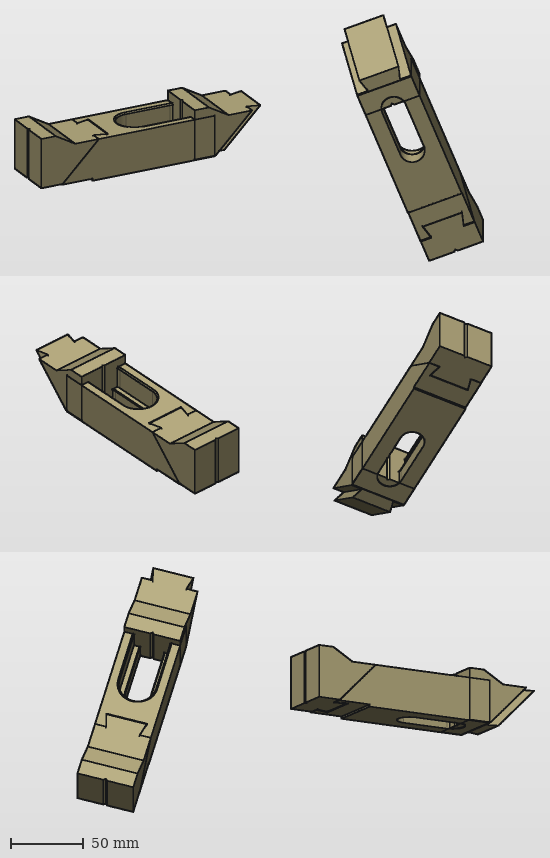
import cadquery as cq

WIDTH = 40.0
JAW_HEIGHT = 36.9
JAW_SHELF_HEIGHT = 28.2
JAW_LIP_LENGTH = 11.0
JAW_RAMP_END = 26.3
JAW_SHOULDER = 44.6
DOVETAIL_LENGTH = 9.3
DOVETAIL_TIP_WIDTH = 28.9
DOVETAIL_ROOT_WIDTH = 24.0
GROOVE_DEPTH = 1.3

TOTAL_LENGTH = 173.0
FRONT_JAW_BOTTOM = 2.0
REAR_JAW_BOTTOM = 0.5
REAR_JAW_FRONT = TOTAL_LENGTH - JAW_SHOULDER - DOVETAIL_LENGTH

BASE_TOP = FRONT_JAW_BOTTOM + JAW_SHELF_HEIGHT
BASE_REAR = 134.8
BASE_STEP_Y = 40.0
BASE_STEP_Z = 1.5
POCKET_GAP = 0.5

SLOT_FRONT_CENTER = 82.5
SLOT_REAR_CENTER = 116.8
SLOT_UPPER_RADIUS = 13.0
SLOT_LOWER_RADIUS = 8.7
SLOT_TOP_CHAMFER = 1.0
LEDGE_CHAMFER = 0.5
LEDGE_Z = 13.8


def side_extrusion(points):
    """Extrude a (Y, Z) outline across the full width, centred on X = 0."""
    return cq.Workplane("YZ").polyline(points).close().extrude(WIDTH / 2, both=True)


def dovetail(length):
    """Dovetail prism running down the 45 degree end face of a jaw."""
    flare = (DOVETAIL_TIP_WIDTH - DOVETAIL_ROOT_WIDTH) / 2 / DOVETAIL_LENGTH
    root_half = DOVETAIL_ROOT_WIDTH / 2
    tip_half = root_half + flare * length
    tip_y = JAW_SHOULDER + length
    outline = cq.Wire.makePolygon(
        [
            cq.Vector(-root_half, JAW_SHOULDER, JAW_SHELF_HEIGHT),
            cq.Vector(root_half, JAW_SHOULDER, JAW_SHELF_HEIGHT),
            cq.Vector(tip_half, tip_y, JAW_SHELF_HEIGHT),
            cq.Vector(-tip_half, tip_y, JAW_SHELF_HEIGHT),
        ],
        close=True,
    )
    down_slope = cq.Vector(0, -JAW_SHELF_HEIGHT, -JAW_SHELF_HEIGHT)
    return cq.Workplane(cq.Solid.extrudeLinear(outline, [], down_slope))


def make_jaw(front_y, bottom_z):
    """Jaw with a raised gripping lip, V-groove and 45 degree dovetailed end."""
    body = side_extrusion([
        (0, 0),
        (0, JAW_HEIGHT),
        (JAW_LIP_LENGTH, JAW_HEIGHT),
        (JAW_RAMP_END, JAW_SHELF_HEIGHT),
        (JAW_SHOULDER, JAW_SHELF_HEIGHT),
        (JAW_SHOULDER - JAW_SHELF_HEIGHT, 0),
    ])
    groove = (
        cq.Workplane("XY")
        .polyline([(-GROOVE_DEPTH, 0), (GROOVE_DEPTH, 0), (0, GROOVE_DEPTH)])
        .close()
        .extrude(JAW_HEIGHT)
    )
    jaw = body.union(dovetail(DOVETAIL_LENGTH)).cut(groove)
    return jaw.translate((0, front_y, bottom_z))


def slot_prism(radius, bottom_z, top_z, taper=0):
    """Round-ended slot prism along Y; a negative taper widens it upwards."""
    center_distance = SLOT_REAR_CENTER - SLOT_FRONT_CENTER
    return (
        cq.Workplane("XY", origin=(0, (SLOT_FRONT_CENTER + SLOT_REAR_CENTER) / 2, bottom_z))
        .slot2D(center_distance + 2 * radius, 2 * radius, 90)
        .extrude(top_z - bottom_z, taper=taper)
    )


def slot_chamfer(radius, size, top_z):
    """Tapered prism that widens a slot by size at 45 degrees up to top_z."""
    return slot_prism(radius, top_z - size, top_z, taper=-45)


def make_full_base():
    """Base bar with its stepped slot and dovetail pocket, before the end piece is split off."""
    shoulder_bottom_y = JAW_SHOULDER - (BASE_TOP - BASE_STEP_Z)
    bar = side_extrusion([
        (JAW_SHOULDER, BASE_TOP),
        (BASE_REAR, BASE_TOP),
        (BASE_REAR, 0),
        (BASE_STEP_Y, 0),
        (BASE_STEP_Y, BASE_STEP_Z),
        (shoulder_bottom_y, BASE_STEP_Z),
    ])
    bar = bar.cut(slot_prism(SLOT_LOWER_RADIUS, 0, LEDGE_Z))
    bar = bar.cut(slot_prism(SLOT_UPPER_RADIUS, LEDGE_Z, BASE_TOP))
    bar = bar.cut(slot_chamfer(SLOT_UPPER_RADIUS, SLOT_TOP_CHAMFER, BASE_TOP))
    bar = bar.cut(slot_chamfer(SLOT_LOWER_RADIUS, LEDGE_CHAMFER, LEDGE_Z))
    pocket = dovetail(DOVETAIL_LENGTH + POCKET_GAP)
    pocket = pocket.union(pocket.translate((0, -BASE_STEP_Z, -BASE_STEP_Z)))
    return bar.cut(pocket.translate((0, 0, FRONT_JAW_BOTTOM)))


full_base = make_full_base()
end_length = BASE_REAR - REAR_JAW_FRONT
end_zone = (
    cq.Workplane("XY", origin=(0, REAR_JAW_FRONT, REAR_JAW_BOTTOM))
    .box(WIDTH, end_length, BASE_TOP - REAR_JAW_BOTTOM, centered=(True, False, False))
)
base = full_base.cut(end_zone)
end_piece = full_base.intersect(end_zone)

front_jaw = make_jaw(0, FRONT_JAW_BOTTOM)

rear_jaw = make_jaw(REAR_JAW_FRONT, REAR_JAW_BOTTOM).cut(full_base)

bodies = [base, end_piece, front_jaw, rear_jaw]
result = cq.Compound.makeCompound([solid for body in bodies for solid in body.solids().vals()])